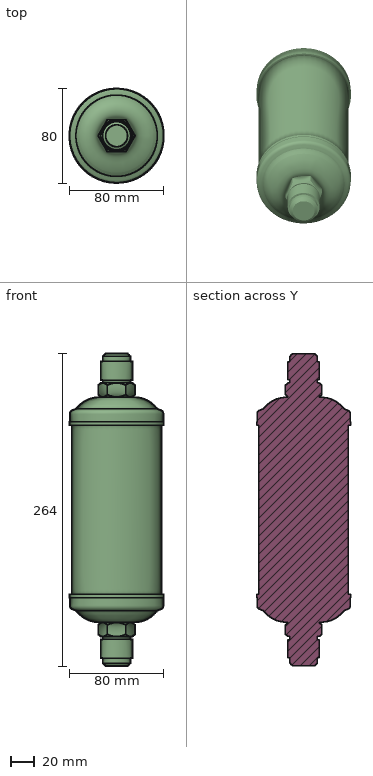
import cadquery as cq
import math

total_length = 264.0
half_length = total_length / 2

tip_radius = 12.0
tip_chamfer = 2.6
thread_radius = 13.5
thread_length = 15.8
thread_start = half_length - 6.9
thread_end = thread_start - thread_length
neck_radius = 12.0
neck_length = 2.0

hex_flats = 27.0
hex_corners = hex_flats / math.cos(math.radians(30))
hex_end_radius = 13.2
hex_chamfer_height = 2.0
hex_top = thread_end - neck_length

dome_height = half_length - 37.0
dome_flat_radius = 15.3
dome_arc_radius = 22.5
cone_angle = math.radians(45)
cone_drop = 3.2
shoulder_angle = math.radians(22)
shoulder_round = 3.5
cap_radius = 39.5

bead_diameter = 80.0
bead_radius = bead_diameter / 2
bead_top = half_length - 57.8
bead_bottom = half_length - 60.7
shell_radius = 38.0


def dome_point(angle):
    """Point of the dome arc where the surface slopes down by the given angle."""
    r = dome_flat_radius + dome_arc_radius * math.sin(angle)
    z = dome_height - dome_arc_radius * (1 - math.cos(angle))
    return r, z


def turned_end():
    """Upper cap with its threaded fitting, turned about Z."""
    dome_edge_radius, dome_edge_height = dome_point(cone_angle)
    cone_radius = dome_edge_radius + cone_drop / math.tan(cone_angle)
    cone_height = dome_edge_height - cone_drop
    round_center_radius = cap_radius - shoulder_round
    round_start_radius = round_center_radius + shoulder_round * math.sin(shoulder_angle)
    round_start_height = cone_height - (round_start_radius - cone_radius) * math.tan(shoulder_angle)
    round_center_height = round_start_height - shoulder_round * math.cos(shoulder_angle)
    middle_angle = (shoulder_angle + math.radians(90)) / 2
    round_middle = (
        round_center_radius + shoulder_round * math.sin(middle_angle),
        round_center_height + shoulder_round * math.cos(middle_angle),
    )

    profile = (
        cq.Workplane("XZ")
        .moveTo(0, bead_bottom)
        .lineTo(bead_radius, bead_bottom)
        .lineTo(bead_radius, bead_top)
        .lineTo(cap_radius, bead_top)
        .lineTo(cap_radius, round_center_height)
        .threePointArc(round_middle, (round_start_radius, round_start_height))
        .lineTo(cone_radius, cone_height)
        .lineTo(dome_edge_radius, dome_edge_height)
        .threePointArc(dome_point(cone_angle / 2), (dome_flat_radius, dome_height))
        .lineTo(neck_radius, dome_height)
        .lineTo(neck_radius, thread_end)
        .lineTo(thread_radius, thread_end)
        .lineTo(thread_radius, thread_start)
        .lineTo(tip_radius, thread_start)
        .lineTo(tip_radius, half_length - tip_chamfer)
        .lineTo(tip_radius - tip_chamfer, half_length)
        .lineTo(0, half_length)
        .close()
    )
    return profile.revolve(360, (0, 0, 0), (0, 1, 0))


def hex_collar():
    """Hexagon with its corners turned down by a cone at both ends."""
    hexagon = (
        cq.Workplane("XY")
        .workplane(offset=dome_height)
        .polygon(6, hex_corners)
        .extrude(hex_top - dome_height)
    )
    corner_radius = hex_corners / 2
    turning = (
        cq.Workplane("XZ")
        .moveTo(0, dome_height)
        .lineTo(hex_end_radius, dome_height)
        .lineTo(corner_radius, dome_height + hex_chamfer_height)
        .lineTo(corner_radius, hex_top - hex_chamfer_height)
        .lineTo(hex_end_radius, hex_top)
        .lineTo(0, hex_top)
        .close()
        .revolve(360, (0, 0, 0), (0, 1, 0))
    )
    return hexagon.intersect(turning)


upper_end = turned_end().union(hex_collar())
lower_end = upper_end.mirror("XY")
shell = cq.Workplane("XY").circle(shell_radius).extrude(bead_bottom, both=True)
result = shell.union(upper_end).union(lower_end)